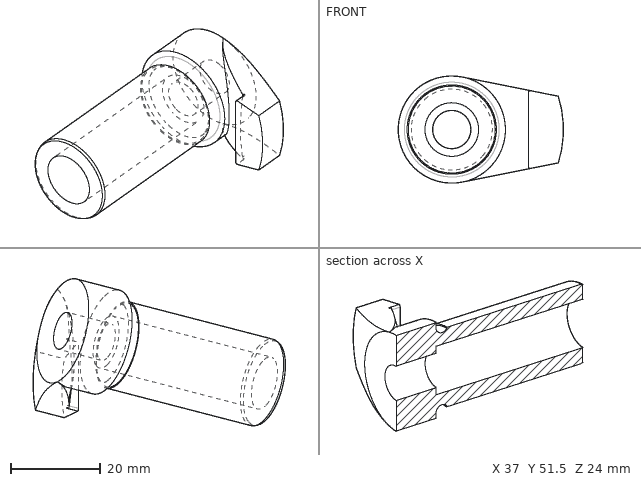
import cadquery as cq
import math


total_length = 51.5
head_radius = 24.0 / 2
head_depth = 11.05
shaft_radius = 20.0 / 2
chamfer_length = 0.6
chamfer_width = 0.25

groove_head_radius = 10.6
groove_neck_radius = 9.05
groove_shaft_radius = 9.7
groove_neck_depth = 12.65
groove_end_depth = 13.95

bore_radius = 12.0 / 2
head_hole_radius = 8.5 / 2

arm_reach = 25.0
arm_tip_half_width = 7.45
arm_tip_top_depth = 6.2
jaw_start = 17.15
jaw_depth = 13.55
jaw_corner_radius = 0.6
jaw_corner_depth = 10.65

cone_apex_x = -5.45
cone_apex_depth = 1.5
underside_slope = 0.46
cone_radius_growth = 2.0

arm_tip_x = math.sqrt(arm_reach**2 - arm_tip_half_width**2)
tip_bearing = math.atan2(arm_tip_half_width, arm_tip_x)
tangent_bearing = tip_bearing + math.acos(head_radius / arm_reach)
tangent_x = head_radius * math.cos(tangent_bearing)
tangent_z = head_radius * math.sin(tangent_bearing)


def make_head_and_shaft():
    """Revolve the stepped outline, including the groove and end chamfer."""
    return (
        cq.Workplane("XY")
        .lineTo(head_radius, 0)
        .lineTo(head_radius, -head_depth)
        .lineTo(groove_head_radius, -head_depth)
        .threePointArc(
            (groove_neck_radius, -groove_neck_depth),
            (groove_shaft_radius, -groove_end_depth),
        )
        .lineTo(shaft_radius, -groove_end_depth)
        .lineTo(shaft_radius, chamfer_length - total_length)
        .lineTo(shaft_radius - chamfer_width, -total_length)
        .lineTo(0, -total_length)
        .close()
        .revolve(360, (0, 0, 0), (0, 1, 0))
    )


def make_arm_plan():
    """Extrude the tapered arm outline through the full jaw depth."""
    return (
        cq.Workplane("XZ")
        .moveTo(0, -tangent_z)
        .lineTo(tangent_x, -tangent_z)
        .lineTo(arm_tip_x, -arm_tip_half_width)
        .threePointArc((arm_reach, 0), (arm_tip_x, arm_tip_half_width))
        .lineTo(tangent_x, tangent_z)
        .lineTo(0, tangent_z)
        .close()
        .extrude(jaw_depth)
    )


def make_top_limit():
    """Body of revolution whose cone slopes the outer face down to the arm tip."""
    return (
        cq.Workplane("XY")
        .lineTo(head_radius, 0)
        .lineTo(arm_reach, -arm_tip_top_depth)
        .lineTo(arm_reach, -jaw_depth)
        .lineTo(0, -jaw_depth)
        .close()
        .revolve(360, (0, 0, 0), (0, 1, 0))
    )


def underside_section(x):
    """Circular section of the underside cone at the given X."""
    distance = x - cone_apex_x
    radius = cone_radius_growth * distance
    lowest_depth = cone_apex_depth + underside_slope * distance
    center = cq.Vector(x, radius - lowest_depth, 0)
    return cq.Wire.makeCircle(radius, center, cq.Vector(1, 0, 0))


def make_underside_limit():
    """Oblique cone that bounds the arm from below."""
    sections = [underside_section(tangent_x), underside_section(arm_reach)]
    return cq.Workplane(obj=cq.Solid.makeLoft(sections, True))


def make_plan_block(start_x, end_x, half_width, depth):
    """Block symmetric about Z = 0, reaching from the head face to the given depth."""
    return (
        cq.Workplane("XZ")
        .center((start_x + end_x) / 2, 0)
        .rect(end_x - start_x, 2 * half_width)
        .extrude(depth)
    )


def make_jaw_limit():
    """Block keeping the full-depth jaw, with rounded inner corners below the arm."""
    flank_slope = (tangent_z - arm_tip_half_width) / (arm_tip_x - tangent_x)
    jaw_half_width = tangent_z - flank_slope * (jaw_start - tangent_x)
    rounded_part = (
        make_plan_block(jaw_start, arm_reach, jaw_half_width, jaw_depth)
        .edges("<X and |Y")
        .fillet(jaw_corner_radius)
    )
    square_part = make_plan_block(jaw_start, arm_reach, jaw_half_width, jaw_corner_depth)
    return rounded_part.union(square_part)


def make_arm():
    """Join the cone-bottomed web to the jaw at its tip."""
    blank = make_arm_plan().intersect(make_top_limit())
    web_limit = make_plan_block(0, jaw_start, head_radius, jaw_depth)
    web = blank.intersect(make_underside_limit()).intersect(web_limit)
    return web.union(blank.intersect(make_jaw_limit()))


def make_bore():
    """Large bore up to the head followed by the smaller hole through it."""
    head_hole = cq.Workplane("XZ").circle(head_hole_radius).extrude(total_length)
    shaft_bore = (
        cq.Workplane("XZ", origin=(0, -head_depth, 0))
        .circle(bore_radius)
        .extrude(total_length - head_depth)
    )
    return head_hole.union(shaft_bore)


result = make_head_and_shaft().union(make_arm()).cut(make_bore())